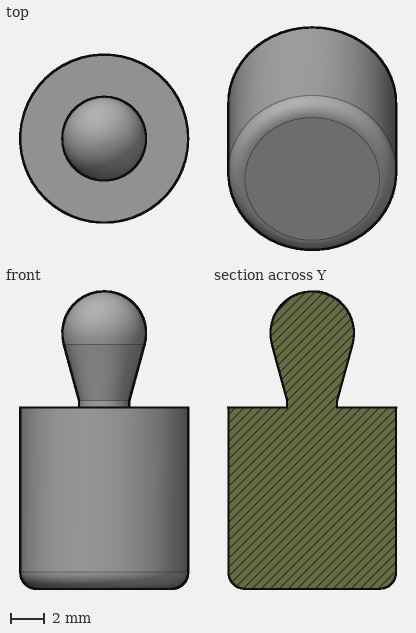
import cadquery as cq
import math

body_diameter = 10.0
body_height = 10.8
bottom_fillet = 1.0

overall_height = 17.7
neck_diameter = 3.0
neck_height = 0.4
ball_diameter = 5.0

body_radius = body_diameter / 2
neck_radius = neck_diameter / 2
ball_radius = ball_diameter / 2
ball_center_height = overall_height - ball_radius

neck_top_height = body_height + neck_height

ball_rise = ball_center_height - neck_top_height
edge_to_ball_center = math.hypot(neck_radius, ball_rise)
cone_half_angle = math.asin(ball_radius / edge_to_ball_center) - math.atan2(neck_radius, ball_rise)
seam_radius = ball_radius * math.cos(cone_half_angle)
seam_height = ball_center_height - ball_radius * math.sin(cone_half_angle)


def make_body():
    """Round body with a rounded bottom edge, standing on Z = 0."""
    body = cq.Workplane("XY").circle(body_radius).extrude(body_height)
    return body.faces("<Z").edges().fillet(bottom_fillet)


def make_pin():
    """Straight neck, flaring cone and ball, revolved about the Z axis."""
    profile = (
        cq.Workplane("XZ")
        .moveTo(0, body_height)
        .lineTo(neck_radius, body_height)
        .lineTo(neck_radius, neck_top_height)
        .lineTo(seam_radius, seam_height)
        .threePointArc((ball_radius, ball_center_height), (0, overall_height))
        .close()
    )
    return profile.revolve(360, (0, 0, 0), (0, 1, 0))


result = make_body().union(make_pin())